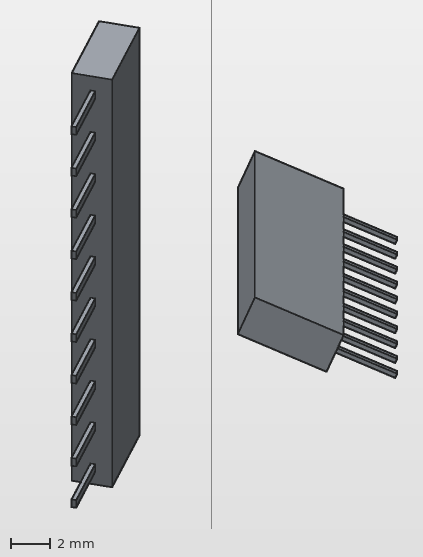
import cadquery as cq

body_width = 2.15
body_height = 25.0
overall_depth = 8.37
pin_length = 3.42
body_depth = overall_depth - pin_length

pin_count = 10
pin_row_span = 22.87
pin_pitch = pin_row_span / (pin_count - 1)
pin_width = 0.25
pin_height = 0.47
pin_row_x = 0.05
pin_row_z = -0.05


def make_body():
    """Block with its pin face on Y = 0, centred on X and Z."""
    return cq.Workplane("XY").box(
        body_width, body_depth, body_height, centered=(True, False, True)
    )


def make_pins():
    """Evenly spaced pins reaching from the pin face toward -Y."""
    return (
        cq.Workplane("XZ")
        .center(pin_row_x, pin_row_z)
        .rarray(0.25, pin_pitch, 1, pin_count)
        .rect(pin_width, pin_height)
        .extrude(pin_length)
    )


result = make_body().union(make_pins())